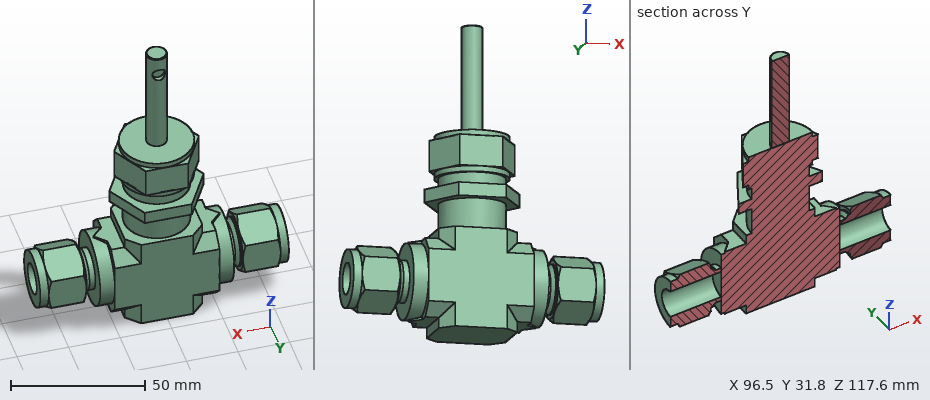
import cadquery as cq
import math

block_width = 28.8
arm_thickness = 30.18
block_length = 40.64
block_height = 38.1
bevel = 5.08
block_top = block_height / 2

tip_half_width = 4.2
tip_reach = tip_half_width

flange_diameter = 28.96
flange_face = 26.0

bonnet_diameter = 25.4
panel_nut_flats = 31.75
panel_nut_bottom = block_top + 11.6
panel_nut_height = 5.0
packing_nut_flats = 28.575
packing_nut_height = 11.7
packing_collar_diameter = 28.19
packing_collar_height = 2.1
packing_nut_bottom = block_top + 23.6
bonnet_top = packing_nut_bottom + packing_nut_height + packing_collar_height

stem_diameter = 7.87
stem_top = 98.55
stem_chamfer = 0.3
set_screw_diameter = 5.0
set_screw_below_top = 7.75
set_screw_depth = 2.0

fitting_end = 48.26
fitting_bore = 12.0
neck_diameter = 16.02
shoulder_diameter = 19.05
fitting_nut_flats = 22.15
fitting_nut_inner_end = 30.4
fitting_nut_outer_end = 45.0
fitting_collar_diameter = 22.1
shoulder_width = 0.6
shoulder_start = fitting_nut_inner_end - shoulder_width
cone_start = shoulder_start - (shoulder_diameter - neck_diameter) / 2
nut_chamfer_angle = math.radians(30)


def across_corners(flats):
    """Corner-to-corner size of a hexagon from its size across flats."""
    return flats / math.cos(math.pi / 6)


def disc(diameter, bottom, top):
    """Cylinder on the Z axis between two heights."""
    return cq.Workplane("XY").workplane(offset=bottom).circle(diameter / 2).extrude(top - bottom)


def upright_hexagon(flats, bottom, height):
    """Hexagonal prism on the Z axis with two flats facing +Y and -Y."""
    return cq.Workplane("XY").workplane(offset=bottom).polygon(6, across_corners(flats)).extrude(height)


def make_tee_block():
    x_arm = cq.Workplane("XY").box(block_length, block_width, arm_thickness).edges("|X").chamfer(bevel)
    z_arm = cq.Workplane("XY").box(arm_thickness, block_width, block_height).edges("|Z").chamfer(bevel)
    end = block_length / 2
    tip_outline = [
        (-end, -tip_half_width),
        (end, -tip_half_width),
        (end + tip_reach, 0),
        (end, tip_half_width),
        (-end, tip_half_width),
        (-end - tip_reach, 0),
    ]
    tips = (
        cq.Workplane("XY").workplane(offset=-arm_thickness / 2)
        .polyline(tip_outline).close().extrude(arm_thickness)
    )
    block = x_arm.union(z_arm).union(tips)
    for side in (-1, 1):
        flange = (
            cq.Workplane("YZ").workplane(offset=side * end)
            .circle(flange_diameter / 2).extrude(side * (flange_face - end))
        )
        block = block.union(flange)
    return block


def make_bonnet():
    packing_collar_bottom = packing_nut_bottom - packing_collar_height
    bonnet = disc(bonnet_diameter, 0, packing_nut_bottom)
    collar = disc(packing_collar_diameter, packing_collar_bottom, bonnet_top)
    panel_nut = upright_hexagon(panel_nut_flats, panel_nut_bottom, panel_nut_height)
    packing_nut = upright_hexagon(packing_nut_flats, packing_nut_bottom, packing_nut_height)
    return bonnet.union(collar).union(panel_nut).union(packing_nut)


def make_body():
    return make_tee_block().union(make_bonnet())


def make_stem():
    """Stem standing on the top face of the packing nut."""
    stem = disc(stem_diameter, bonnet_top, stem_top).faces(">Z").chamfer(stem_chamfer)
    set_screw_hole = (
        cq.Workplane("XZ", origin=(0, stem_diameter / 2, stem_top - set_screw_below_top))
        .circle(set_screw_diameter / 2).extrude(set_screw_depth)
    )
    return stem.cut(set_screw_hole)


def make_fitting_nut():
    """Hexagonal nut on the X axis, corners up and down, both ends chamfered."""
    nut_length = fitting_nut_outer_end - fitting_nut_inner_end
    corner_diameter = across_corners(fitting_nut_flats)
    hexagon = (
        cq.Workplane("YZ").workplane(offset=fitting_nut_inner_end)
        .transformed(rotate=(0, 0, 90)).polygon(6, corner_diameter).extrude(nut_length)
    )
    chamfer_depth = (corner_diameter - fitting_collar_diameter) / 2
    envelope = (
        cq.Workplane("YZ").workplane(offset=fitting_nut_inner_end)
        .circle(corner_diameter / 2).extrude(nut_length)
        .faces("<X or >X").chamfer(chamfer_depth * math.tan(nut_chamfer_angle), chamfer_depth)
    )
    return hexagon.intersect(envelope)


def make_fitting(turn):
    """Tube fitting seated on a flange face, turned about the Z axis to its side of the tee."""
    core_outline = [
        (flange_face, 0),
        (flange_face, neck_diameter / 2),
        (cone_start, neck_diameter / 2),
        (shoulder_start, shoulder_diameter / 2),
        (fitting_nut_inner_end, shoulder_diameter / 2),
        (fitting_nut_inner_end, fitting_collar_diameter / 2),
        (fitting_end, fitting_collar_diameter / 2),
        (fitting_end, 0),
    ]
    core = cq.Workplane("XY").polyline(core_outline).close().revolve(360, (0, 0, 0), (1, 0, 0))
    bore = (
        cq.Workplane("YZ").workplane(offset=flange_face)
        .circle(fitting_bore / 2).extrude(fitting_end - flange_face)
    )
    fitting = core.union(make_fitting_nut()).cut(bore)
    return fitting.rotate((0, 0, 0), (0, 0, 1), turn)


body = make_body()
stem = make_stem()
fittings = [make_fitting(turn) for turn in (0, 180)]

result = cq.Compound.makeCompound([body.val(), stem.val(), *[fitting.val() for fitting in fittings]])